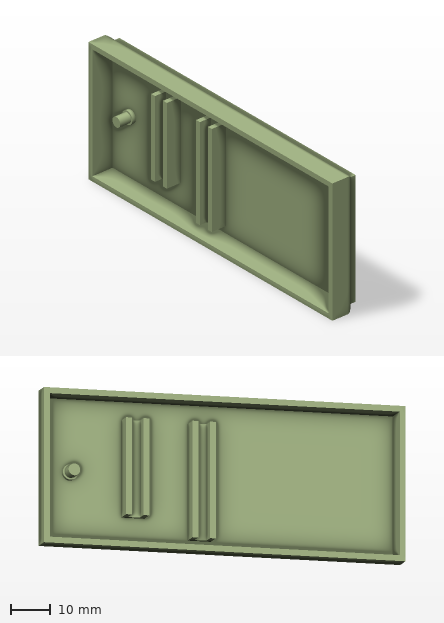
import cadquery as cq

LENGTH = 95.0
HEIGHT = 40.0
DEPTH = 9.0
WALL = 1.5
LIP_DEPTH = 2.0
EDGE_RADIUS = 2.0
CAVITY_DEPTH = 6.7

GAUGES = [(22.1, 25.0), (39.6, 30.0)]
GAUGE_WIDTH = 6.1
GAUGE_RISE = 4.75
GAUGE_TOP_MARGIN = 6.3
SLOT_WIDTH = 3.1
SLOT_DEPTH = 3.6

PIN_X = 8.55
PIN_Z = 19.6
PIN_DIAMETER = 3.0
PIN_RISE = GAUGE_RISE
COLLAR_DIAMETER = 4.0
COLLAR_RISE = 1.1

SHELL_DEPTH = DEPTH - LIP_DEPTH


def block(x, y, z, dx, dy, dz):
    """Box with its lowest corner at (x, y, z)."""
    return cq.Workplane("XY").box(dx, dy, dz, centered=False).translate((x, y, z))


def make_tray():
    """Open box with a rounded back edge and a stacking lip."""
    shell = block(0, 0, 0, LENGTH, SHELL_DEPTH, HEIGHT)
    shell = shell.faces(">Y").edges().fillet(EDGE_RADIUS)
    inner_length = LENGTH - 2 * WALL
    inner_height = HEIGHT - 2 * WALL
    lip = block(WALL, CAVITY_DEPTH, WALL, inner_length, DEPTH - CAVITY_DEPTH, inner_height)
    cavity = block(WALL, 0, WALL, inner_length, CAVITY_DEPTH, inner_height)
    return shell.union(lip).cut(cavity)


def make_gauge(x, length):
    """Upright U-channel, open toward -Y, that takes a screw of the given length."""
    bottom = HEIGHT - GAUGE_TOP_MARGIN - length
    front = CAVITY_DEPTH - GAUGE_RISE
    body = block(x, front, bottom, GAUGE_WIDTH, GAUGE_RISE, length)
    slot_x = x + (GAUGE_WIDTH - SLOT_WIDTH) / 2
    return body.cut(block(slot_x, front, bottom, SLOT_WIDTH, SLOT_DEPTH, length))


def make_pin():
    """Round pin with a short collar at its foot."""
    floor_plane = cq.Workplane("XZ", origin=(PIN_X, CAVITY_DEPTH, PIN_Z))
    collar = floor_plane.circle(COLLAR_DIAMETER / 2).extrude(COLLAR_RISE)
    shaft = floor_plane.circle(PIN_DIAMETER / 2).extrude(PIN_RISE)
    return collar.union(shaft)


def make_gauge_tray():
    """Tray with its gauges and pin, all one solid."""
    body = make_tray().union(make_pin())
    for left, length in GAUGES:
        body = body.union(make_gauge(left, length))
    return body


gauge_tray = make_gauge_tray()

result = cq.Compound.makeCompound([gauge_tray.val()])